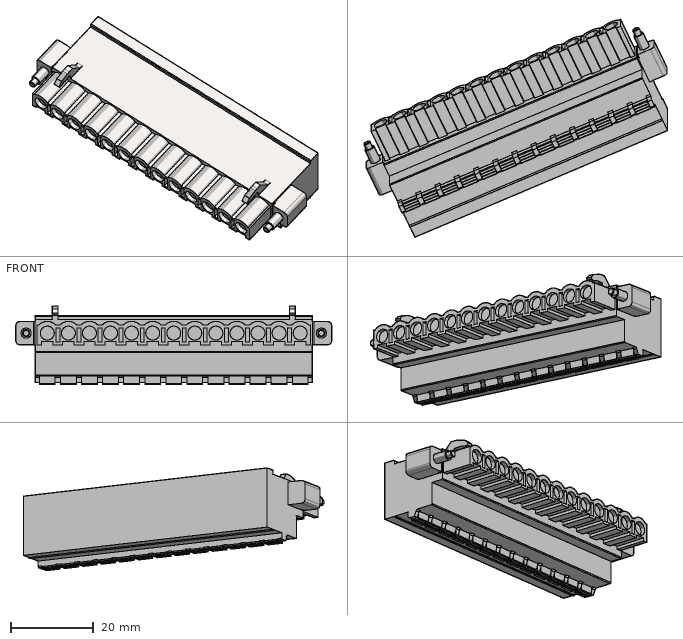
import cadquery as cq


overall_length = 76.2
housing_length = 66.9
housing_depth = 18.2
housing_height = 13.65
step_setback = 3.3
step_height = 5.7
rim_depth = 3.05
rim_height = 1.0
edge_chamfer = 0.2

pole_count = 13
pole_row_length = 60.95
pole_pitch = pole_row_length / (pole_count - 1)
pole_positions = [-pole_row_length / 2 + i * pole_pitch for i in range(pole_count)]
gap_positions = [x + pole_pitch / 2 for x in pole_positions[:-1]]

axis_height = 10.4
socket_length = 8.4
socket_radius = 2.8
socket_row_length = pole_row_length + pole_pitch
web_bottom = axis_height - socket_radius
web_top = 12.3
hole_radius = 1.7
hole_depth = 1.15
slot_width = 0.9
slot_bottom = 8.2
slot_top = 11.6
notch_width = 2.75
notch_height = 0.8

flange_depth = 7.6
flange_bottom = axis_height - socket_radius
flange_top = axis_height + socket_radius
flange_fillet = 1.0
groove_width = 0.3
groove_depth = 0.9
screw_offset = 35.6
screw_radius = 1.2
screw_length = 3.65
tip_radius = 0.85
tip_length = 1.6
tip_chamfer = 0.15

hook_offset = 28.6
hook_width = 1.45
hook_top = 16.9

rail_back = 10.8
rail_front = 7.9
rail_height = 1.75
gap_height = 1.6
rail_chamfer = 0.3
slope_top = 8.3
slope_drop = 0.4
slope_bottom = 8.85
foot_width = 3.8
foot_front = 8.45
pad_width = 0.7
pad_drop = 0.3
pad_backs = [10.7, 9.3]
ridge_setback = 3.1
ridge_radius = 0.2


def box(x_center, width, y_range, z_range):
    y_low, y_high = y_range
    z_low, z_high = z_range
    center = (x_center, (y_low + y_high) / 2, (z_low + z_high) / 2)
    return cq.Workplane("XY").box(width, y_high - y_low, z_high - z_low).translate(center)


def prism(points, width, x_center=0.0):
    """Extrude a (y, z) outline along X, centred on x_center."""
    sketch = cq.Workplane("YZ", origin=(x_center, 0, 0)).polyline(points).close()
    return sketch.extrude(width / 2, both=True)


def rod(x, z, radius, y_start, length):
    """Cylinder pointing towards -Y from y_start."""
    return cq.Workplane("XZ", origin=(x, y_start, z)).circle(radius).extrude(length)


def housing():
    rim_top = housing_height + rim_height
    rim_front = housing_depth - rim_depth
    return prism(
        [
            (0, housing_height),
            (rim_front, housing_height),
            (rim_front, rim_top - edge_chamfer),
            (rim_front + edge_chamfer, rim_top),
            (housing_depth, rim_top),
            (housing_depth, 0),
            (step_setback + edge_chamfer, 0),
            (step_setback, edge_chamfer),
            (step_setback, step_height),
            (edge_chamfer, step_height),
            (0, step_height + edge_chamfer),
        ],
        housing_length,
    )


def socket_block():
    block = box(0, socket_row_length, (-socket_length, 0), (web_bottom, web_top))
    for x in pole_positions:
        block = block.union(rod(x, axis_height, socket_radius, 0, socket_length))
    envelope = box(0, socket_row_length, (-socket_length, 0), (web_bottom, axis_height + socket_radius))
    block = block.intersect(envelope)
    for x in pole_positions:
        block = block.cut(rod(x, axis_height, hole_radius, hole_depth - socket_length, hole_depth))
        notch = box(x, notch_width, (-socket_length, 0), (web_bottom, web_bottom + notch_height))
        block = block.cut(notch)
    for x in gap_positions:
        block = block.cut(box(x, slot_width, (-socket_length, 0), (slot_bottom, slot_top)))
    return block


def screw_flange(side):
    """Flange with its screw; side is -1 or +1 along X."""
    inner = housing_length / 2
    width = overall_length / 2 - inner
    z_range = (flange_bottom, flange_top)
    flange = box(side * (inner + width / 2), width, (0, flange_depth), z_range)
    outer_edges = "|Y and " + (">X" if side > 0 else "<X")
    flange = flange.edges(outer_edges).fillet(flange_fillet)
    groove_wall = side * (inner + groove_width)
    groove = (
        cq.Workplane("XY", origin=(0, 0, flange_bottom))
        .polyline([(side * inner, 0), (groove_wall, 0), (groove_wall, groove_depth)])
        .close()
        .extrude(flange_top - flange_bottom)
    )
    x = side * screw_offset
    shank = rod(x, axis_height, screw_radius, 0, screw_length)
    tip = rod(x, axis_height, tip_radius, -screw_length, tip_length).faces("<Y").chamfer(tip_chamfer)
    return flange.cut(groove).union(shank).union(tip)


def latch_hook(x):
    outline = (
        cq.Workplane("YZ", origin=(x, 0, 0))
        .moveTo(0, housing_height)
        .lineTo(0, 14.6)
        .lineTo(-0.3, 14.9)
        .lineTo(-2.4, 14.9)
        .lineTo(-3.6, 14.6)
        .lineTo(-4.35, 14.8)
        .lineTo(-4.65, 15.25)
        .lineTo(-3.5, 16.2)
        .lineTo(-1.15, 16.85)
        .lineTo(-0.45, hook_top)
        .lineTo(0.85, hook_top)
        .lineTo(3.5, 14.2)
        .tangentArcPoint((4.7, housing_height), relative=False)
        .close()
    )
    return outline.extrude(hook_width / 2, both=True)


def foot_rail():
    """Rail of upright feet, one per pole, with sloped pieces filling the gaps and both ends."""
    rail = prism(
        [
            (rail_back, 0),
            (rail_back, -gap_height + rail_chamfer),
            (rail_back - rail_chamfer, -gap_height),
            (slope_bottom, -gap_height),
            (slope_top, -slope_drop),
            (rail_front, 0),
        ],
        housing_length,
    )
    for x in pole_positions:
        rail = rail.cut(box(x, foot_width, (rail_front, rail_back), (-gap_height, 0)))
        foot = prism(
            [
                (foot_front, 0),
                (rail_back, 0),
                (rail_back, -rail_height + rail_chamfer),
                (rail_back - rail_chamfer, -rail_height),
                (foot_front, -rail_height),
            ],
            foot_width,
            x,
        )
        rail = rail.union(foot)
        for back in pad_backs:
            pad = box(x, foot_width, (back - pad_width, back), (-rail_height - pad_drop, -rail_height))
            rail = rail.union(pad)
    return rail


def underside_ridge():
    ridge = cq.Workplane("YZ", origin=(0, housing_depth - ridge_setback, 0)).circle(ridge_radius)
    return ridge.extrude(housing_length / 2, both=True)


result = housing().union(socket_block()).union(foot_rail()).union(underside_ridge())
for side in (-1, 1):
    result = result.union(screw_flange(side)).union(latch_hook(side * hook_offset))